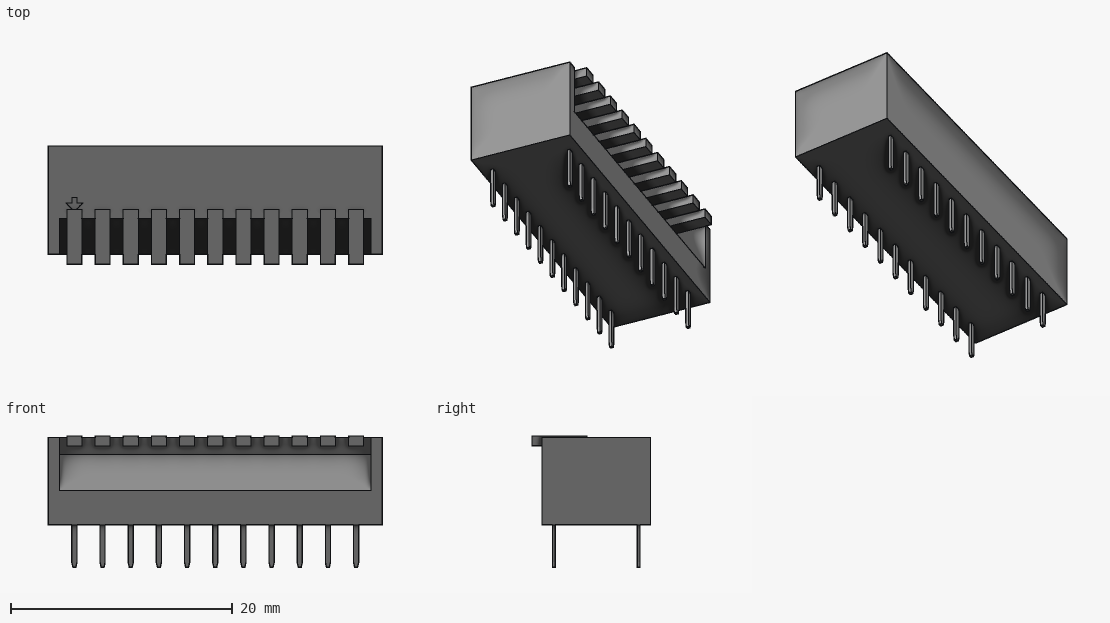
import cadquery as cq

body_length = 30.12
body_depth = 9.8
body_height = 7.9
front_y = -body_depth / 2

recess_length = 28.07
recess_depth = 3.25
recess_wall_height = 1.55
recess_wall_y = front_y + recess_depth
ramp_drop = recess_depth

position_count = 11
position_span = 25.4
position_pitch = position_span / (position_count - 1)
positions_x = [-position_span / 2 + i * position_pitch for i in range(position_count)]

lever_width = 1.35
lever_height = 0.9
lever_rise = 0.15
lever_overhang = 0.9
lever_lip = 0.8

arrow_tail_setback = 5.12
arrow_shaft_length = 0.48
arrow_shaft_width = 0.45
arrow_head_length = 0.78
arrow_head_width = 1.55
arrow_engraving = 0.03

pin_row_spacing = 7.62
pin_width = 0.48
pin_thickness = 0.27
pin_length = 3.83
tip_width = 0.27
tip_length = 0.45


def make_housing():
    block = cq.Workplane("XY").box(body_length, body_depth, body_height, centered=(True, True, False))
    wall_bottom = body_height - recess_wall_height
    recess = (
        cq.Workplane("YZ")
        .polyline([
            (front_y, body_height),
            (recess_wall_y, body_height),
            (recess_wall_y, wall_bottom),
            (front_y, wall_bottom - ramp_drop),
        ])
        .close()
        .extrude(recess_length / 2, both=True)
    )
    return block.cut(recess)


def make_arrow(x):
    tail_y = front_y + arrow_tail_setback
    head_y = tail_y - arrow_shaft_length
    return (
        cq.Workplane("XY", origin=(x, 0, body_height))
        .polyline([
            (-arrow_shaft_width / 2, tail_y),
            (arrow_shaft_width / 2, tail_y),
            (arrow_shaft_width / 2, head_y),
            (arrow_head_width / 2, head_y),
            (0, head_y - arrow_head_length),
            (-arrow_head_width / 2, head_y),
            (-arrow_shaft_width / 2, head_y),
        ])
        .close()
        .extrude(-arrow_engraving)
    )


def make_lever(x):
    end_y = front_y - lever_overhang
    top = body_height + lever_rise
    bottom = top - lever_height
    return (
        cq.Workplane("YZ", origin=(x, 0, 0))
        .polyline([
            (end_y, bottom),
            (end_y, top),
            (recess_wall_y + lever_lip, top),
            (recess_wall_y + lever_lip, body_height),
            (recess_wall_y, body_height),
            (recess_wall_y, bottom),
        ])
        .close()
        .extrude(lever_width / 2, both=True)
    )


def make_pin(x, y):
    shoulder_z = tip_length - pin_length
    return (
        cq.Workplane("XZ", origin=(x, y, 0))
        .polyline([
            (-pin_width / 2, 0),
            (pin_width / 2, 0),
            (pin_width / 2, shoulder_z),
            (tip_width / 2, -pin_length),
            (-tip_width / 2, -pin_length),
            (-pin_width / 2, shoulder_z),
        ])
        .close()
        .extrude(pin_thickness / 2, both=True)
    )


result = make_housing().cut(make_arrow(positions_x[0]))
for position_x in positions_x:
    result = result.union(make_lever(position_x))
    for row_y in (-pin_row_spacing / 2, pin_row_spacing / 2):
        result = result.union(make_pin(position_x, row_y))